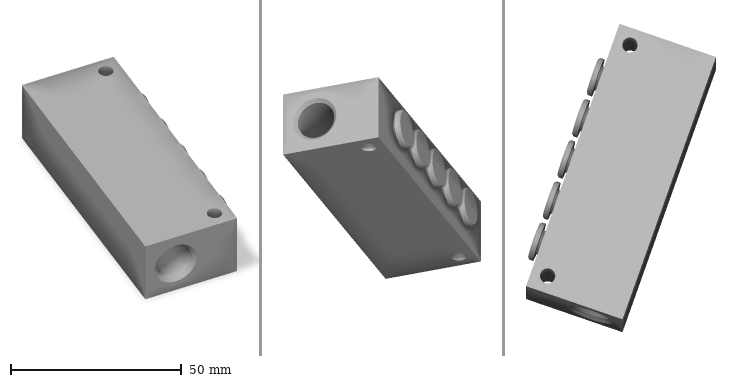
import cadquery as cq

length = 83.0
depth = 30.0
height = 20.0

bore_diameter = 11.45
bore_mouth_diameter = 13.5
bore_from_front = 10.0

mount_diameter = 4.5
mount_inset = 5.0

collar_count = 5
collar_row_span = 52.0
collar_pitch = collar_row_span / (collar_count - 1)
collar_reach = 2.9
neck_diameter = 7.4
neck_length = 1.25
flange_diameter = 11.5
flange_chamfer = 0.5


def make_block():
    return cq.Workplane("XY").box(length, depth, height, centered=(True, False, False))


def make_bore():
    """Through bore with a 45 degree countersink at each end, as one revolved cutter."""
    half_length = length / 2
    bore_radius = bore_diameter / 2
    mouth_radius = bore_mouth_diameter / 2
    sink_depth = mouth_radius - bore_radius
    profile = (
        cq.Workplane("XY")
        .moveTo(-half_length, 0)
        .lineTo(-half_length, mouth_radius)
        .lineTo(-half_length + sink_depth, bore_radius)
        .lineTo(half_length - sink_depth, bore_radius)
        .lineTo(half_length, mouth_radius)
        .lineTo(half_length, 0)
        .close()
    )
    cutter = profile.revolve(360, (0, 0, 0), (1, 0, 0))
    return cutter.translate((0, bore_from_front, height / 2))


def make_mount_hole(side):
    """Through hole in the back corner on the given side (-1 left, +1 right)."""
    hole_x = side * (length / 2 - mount_inset)
    hole_y = depth - mount_inset
    return cq.Workplane("XY").center(hole_x, hole_y).circle(mount_diameter / 2).extrude(height)


def make_collar(index):
    """Neck standing on the back face, topped by a flange with a chamfered outer rim."""
    collar_x = (index - (collar_count - 1) / 2) * collar_pitch
    flange_thickness = collar_reach - neck_length
    neck = cq.Workplane("XY").circle(neck_diameter / 2).extrude(neck_length)
    flange = (
        cq.Workplane("XY")
        .workplane(offset=neck_length)
        .circle(flange_diameter / 2)
        .extrude(flange_thickness)
        .faces(">Z")
        .edges()
        .chamfer(flange_chamfer)
    )
    collar = neck.union(flange).rotate((0, 0, 0), (1, 0, 0), -90)
    return collar.translate((collar_x, depth, height / 2))


result = make_block().cut(make_bore())

for side in (-1, 1):
    result = result.cut(make_mount_hole(side))

for index in range(collar_count):
    result = result.union(make_collar(index))